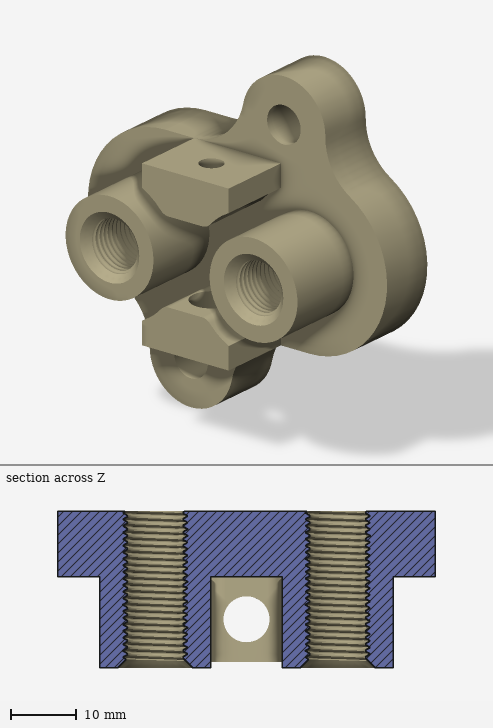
import cadquery as cq
import math

PLATE_HEIGHT = 59.0
PLATE_THICKNESS = 10.05
END_RADIUS = 15.0
PORT_OFFSET = 13.9
EAR_X = 8.95
EAR_RADIUS = 8.0
EAR_Z = PLATE_HEIGHT / 2 - EAR_RADIUS
EAR_HOLE_DIAMETER = 6.5
NECK_RADIUS = 10.05

BOSS_DIAMETER = 17.0
BOSS_HEIGHT = 13.9
PORT_DEPTH = BOSS_HEIGHT + PLATE_THICKNESS
BORE_DIAMETER = 8.5
BORE_SEAM_ANGLE = 225.0
COUNTERSINK_DIAMETER = 11.5
COUNTERSINK_DEPTH = (COUNTERSINK_DIAMETER - BORE_DIAMETER) / 2
THREAD_DIAMETER = 9.8
THREAD_PITCH = 1.0
THREAD_FLANK_ANGLE = 30.0
THREAD_START_DEPTH = 1.2
THREAD_START_ANGLE = 19.0
THREAD_RUNOUT = 0.75
THREAD_OVERLAP = 0.1

BLOCK_HEIGHT = 13.0
BLOCK_WIDTH = 16.75
BLOCK_INNER_Z = 7.5
BLOCK_CLEARANCE_RADIUS = 12.3
BLOCK_EDGE_RADIUS = 2.0
UPPER_HOLE_DIAMETER = 4.0
LOWER_HOLE_DIAMETER = 7.0


def half_turn(shape):
    return shape.rotate((0, 0, 0), (0, 1, 0), 180)


def toward(start, end, distance):
    """Point at a distance from start on the line to end."""
    length = math.dist(start, end)
    return tuple(a + (b - a) * distance / length for a, b in zip(start, end))


def on_front(y):
    """Sketch plane with X right and Z up, extruding toward -Y."""
    return cq.Workplane("XZ", origin=(0, y, 0))


def ear():
    """Ear with its two concave necks, running down to the middle of the plate."""
    center = (EAR_X, EAR_Z)
    end_center = (PORT_OFFSET, 0)

    reach = EAR_RADIUS + NECK_RADIUS
    left_z = END_RADIUS + NECK_RADIUS
    left_neck = (EAR_X - math.sqrt(reach**2 - (left_z - EAR_Z) ** 2), left_z)

    end_reach = END_RADIUS + NECK_RADIUS
    span = math.dist(end_center, center)
    along = (end_reach**2 - reach**2 + span**2) / (2 * span)
    aside = math.sqrt(end_reach**2 - along**2)
    foot = toward(end_center, center, along)
    right_neck = (
        foot[0] + aside * (center[1] - end_center[1]) / span,
        foot[1] - aside * (center[0] - end_center[0]) / span,
    )

    left_start = (left_neck[0], END_RADIUS)
    left_end = toward(left_neck, center, NECK_RADIUS)
    right_start = toward(right_neck, center, NECK_RADIUS)
    right_end = toward(right_neck, end_center, NECK_RADIUS)
    return (
        on_front(PLATE_THICKNESS)
        .moveTo(left_start[0], 0)
        .lineTo(*left_start)
        .radiusArc(left_end, -NECK_RADIUS)
        .threePointArc((EAR_X, EAR_Z + EAR_RADIUS), right_start)
        .radiusArc(right_end, -NECK_RADIUS)
        .lineTo(*end_center)
        .close()
        .extrude(PLATE_THICKNESS)
    )


def plate():
    body = (
        on_front(PLATE_THICKNESS)
        .slot2D(2 * (PORT_OFFSET + END_RADIUS), 2 * END_RADIUS)
        .extrude(PLATE_THICKNESS)
    )
    holes = (
        on_front(PLATE_THICKNESS)
        .pushPoints([(EAR_X, EAR_Z), (-EAR_X, -EAR_Z)])
        .circle(EAR_HOLE_DIAMETER / 2)
        .extrude(PLATE_THICKNESS)
    )
    return body.union(ear()).union(half_turn(ear())).cut(holes)


def block():
    """Upper clamp block; its lower corners clear the bosses and are rounded into its lower side."""
    half_width = BLOCK_WIDTH / 2
    side_z = math.sqrt(BLOCK_CLEARANCE_RADIUS**2 - (PORT_OFFSET - half_width) ** 2)
    edge_z = BLOCK_INNER_Z + BLOCK_EDGE_RADIUS
    edge_reach = BLOCK_CLEARANCE_RADIUS + BLOCK_EDGE_RADIUS
    edge_x = PORT_OFFSET - math.sqrt(edge_reach**2 - edge_z**2)
    blend_x, blend_z = toward((PORT_OFFSET, 0), (edge_x, edge_z), BLOCK_CLEARANCE_RADIUS)
    return (
        on_front(0)
        .moveTo(-half_width, END_RADIUS)
        .lineTo(half_width, END_RADIUS)
        .lineTo(half_width, side_z)
        .radiusArc((blend_x, blend_z), -BLOCK_CLEARANCE_RADIUS)
        .radiusArc((edge_x, BLOCK_INNER_Z), BLOCK_EDGE_RADIUS)
        .lineTo(-edge_x, BLOCK_INNER_Z)
        .radiusArc((-blend_x, blend_z), BLOCK_EDGE_RADIUS)
        .radiusArc((-half_width, side_z), -BLOCK_CLEARANCE_RADIUS)
        .close()
        .extrude(BLOCK_HEIGHT)
    )


def block_hole(diameter):
    """Cutter for a vertical hole through the upper block."""
    return (
        cq.Workplane("XY", origin=(0, -BLOCK_HEIGHT / 2, BLOCK_INNER_Z))
        .circle(diameter / 2)
        .extrude(END_RADIUS - BLOCK_INNER_Z)
    )


def port_bore():
    """Countersunk bore from the boss face through the plate, about the Y axis.

    Its seam is turned away from the spot where the thread leaves the back face,
    because the thread cut fails when the two meet.
    """
    bore_radius = BORE_DIAMETER / 2
    face_y = -BOSS_HEIGHT
    return (
        cq.Workplane("XY")
        .transformed(rotate=(0, BORE_SEAM_ANGLE, 0))
        .moveTo(0, face_y)
        .lineTo(COUNTERSINK_DIAMETER / 2, face_y)
        .lineTo(bore_radius, face_y + COUNTERSINK_DEPTH)
        .lineTo(bore_radius, PLATE_THICKNESS)
        .lineTo(0, PLATE_THICKNESS)
        .close()
        .revolve(360, (0, 0, 0), (0, 1, 0))
    )


def port_thread():
    """Right-hand V groove that starts in the countersink and runs out through the back."""
    inner_radius = BORE_DIAMETER / 2 - THREAD_OVERLAP
    outer_radius = THREAD_DIAMETER / 2
    half_opening = (outer_radius - inner_radius) * math.tan(math.radians(THREAD_FLANK_ANGLE))
    length = PORT_DEPTH - THREAD_START_DEPTH + THREAD_RUNOUT
    path = cq.Wire.makeHelix(THREAD_PITCH, length, inner_radius)
    groove = (
        cq.Workplane("XZ")
        .moveTo(inner_radius, -half_opening)
        .lineTo(outer_radius, 0)
        .lineTo(inner_radius, half_opening)
        .close()
        .sweep(cq.Workplane(path), isFrenet=True)
    )
    return (
        groove.rotate((0, 0, 0), (0, 0, 1), THREAD_START_ANGLE)
        .rotate((0, 0, 0), (1, 0, 0), -90)
        .translate((0, THREAD_START_DEPTH - BOSS_HEIGHT, 0))
    )


def port():
    """Threaded port as a sleeve reaching through the whole depth, about the Y axis."""
    sleeve = on_front(PLATE_THICKNESS).circle(BOSS_DIAMETER / 2).extrude(PORT_DEPTH)
    return sleeve.cut(port_bore()).cut(port_thread())


upper_block = block().cut(block_hole(UPPER_HOLE_DIAMETER))
lower_block = half_turn(block().cut(block_hole(LOWER_HOLE_DIAMETER)))
body = plate().union(upper_block).union(lower_block)
for port_x in (-PORT_OFFSET, PORT_OFFSET):
    seat = on_front(PLATE_THICKNESS).circle(BOSS_DIAMETER / 2).extrude(PLATE_THICKNESS)
    body = body.cut(seat.translate((port_x, 0, 0)))
    body = body.union(port().translate((port_x, 0, 0)))

result = body